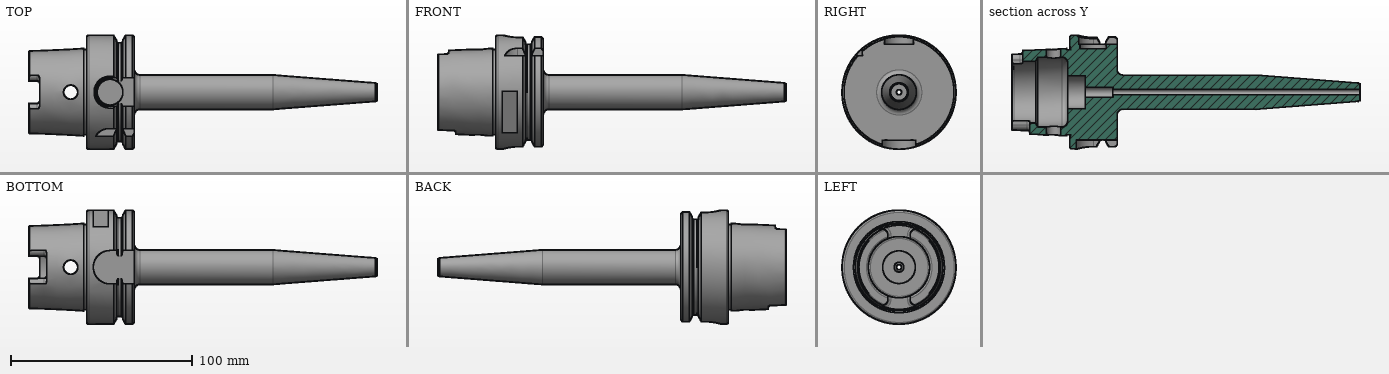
import cadquery as cq
import math


total_length = 192.0

shank_length = 31.9
shank_root_radius = 24.2
shank_tip_radius = 22.8
shank_tip_fillet = 0.8
relief_width = 1.7
relief_depth = 0.5
face_relief_radius = 25.2
face_relief_depth = 0.5

flange_radius = 31.5
flange_width = 26.3
flange_fillet = 1.2
collar_chamfer = 1.2
groove_floor_radius = 27.3
groove_floor_start = 16.5
groove_floor_width = 3.3
groove_wall_radius = 28.6
groove_flank_run = 1.7
groove_corner_radius = 0.8

stem_radius = 9.6
stem_fillet = 2.9
nose_length = 57.6
nose_end = total_length - shank_length
nose_start = nose_end - nose_length
nose_tip_radius = 5.2
nose_chamfer = 0.5
nose_chamfer_length = 1.2

mouth_radius = 18.0
mouth_fillet = 1.2
bore_radius = mouth_radius - mouth_fillet
bore_straight_depth = 13.0
undercut_radius = 19.2
undercut_angle = 60
bore_floor_radius = 16.0
bore_depth = 30.7
thread_radius = 9.0
thread_depth = 9.6
coolant_radius = 2.7
coolant_depth = 15.4
tool_hole_radius = 1.3

drive_half_width = 6.1
drive_corner_radius = 1.5
drive_flare_radius = 3.0
drive_flare_start = 17.9
upper_drive_depth = 6.0
lower_drive_depth = 9.8

cross_hole_radius = 3.8
cross_hole_x = -8.8

keyway_centre_x = 12.9
keyway_floor = 26.5
upper_keyway_half_width = 7.9
lower_keyway_half_width = 9.2
keyway_chamfer = 1.0
seat_radius = 7.1
seat_depth = 2.5

notch_offset = 20.2
notch_corner_radius = 7.9
notch_straight_start = 12.0
flat_start = 3.6
flat_length = 8.3
flat_distance = 29.0
flat_angle = 22.0


def make_body():
    """Revolved outer shape of shank, flange and stem."""
    tip = -shank_length
    groove_end = groove_floor_start + groove_floor_width
    relief_radius = shank_root_radius - relief_depth
    return (
        cq.Workplane("XZ")
        .moveTo(tip, 0)
        .lineTo(tip, shank_tip_radius - shank_tip_fillet)
        .radiusArc((tip + shank_tip_fillet, shank_tip_radius), shank_tip_fillet)
        .lineTo(-relief_width, shank_root_radius)
        .lineTo(-relief_width, relief_radius)
        .lineTo(face_relief_depth, relief_radius)
        .lineTo(0, face_relief_radius)
        .lineTo(0, flange_radius - flange_fillet)
        .radiusArc((flange_fillet, flange_radius), flange_fillet)
        .lineTo(groove_floor_start - groove_flank_run, flange_radius)
        .lineTo(groove_floor_start, groove_wall_radius)
        .lineTo(groove_floor_start, groove_floor_radius + groove_corner_radius)
        .radiusArc((groove_floor_start + groove_corner_radius, groove_floor_radius), -groove_corner_radius)
        .lineTo(groove_end - groove_corner_radius, groove_floor_radius)
        .radiusArc((groove_end, groove_floor_radius + groove_corner_radius), -groove_corner_radius)
        .lineTo(groove_end, groove_wall_radius)
        .lineTo(groove_end + groove_flank_run, flange_radius)
        .lineTo(flange_width - collar_chamfer, flange_radius)
        .lineTo(flange_width, flange_radius - collar_chamfer)
        .lineTo(flange_width, stem_radius + stem_fillet)
        .radiusArc((flange_width + stem_fillet, stem_radius), -stem_fillet)
        .lineTo(nose_start, stem_radius)
        .lineTo(nose_end - nose_chamfer_length, nose_tip_radius)
        .lineTo(nose_end, nose_tip_radius - nose_chamfer)
        .lineTo(nose_end, 0)
        .close()
        .revolve(360, (0, 0, 0), (1, 0, 0))
    )


def make_bore():
    """Revolved cavity: undercut clamping bore, coolant hole and tool hole."""
    tip = -shank_length
    undercut_start = tip + bore_straight_depth
    undercut_run = (undercut_radius - bore_radius) / math.tan(math.radians(undercut_angle))
    floor_fillet = undercut_radius - bore_floor_radius
    floor_x = tip + bore_depth
    thread_end = floor_x + thread_depth
    coolant_end = thread_end + coolant_depth
    return (
        cq.Workplane("XZ")
        .moveTo(tip, 0)
        .lineTo(tip, mouth_radius)
        .radiusArc((tip + mouth_fillet, bore_radius), -mouth_fillet)
        .lineTo(undercut_start, bore_radius)
        .lineTo(undercut_start + undercut_run, undercut_radius)
        .lineTo(floor_x - floor_fillet, undercut_radius)
        .radiusArc((floor_x, bore_floor_radius), floor_fillet)
        .lineTo(floor_x, thread_radius)
        .lineTo(thread_end, thread_radius)
        .lineTo(thread_end, coolant_radius)
        .lineTo(coolant_end, coolant_radius)
        .lineTo(coolant_end, tool_hole_radius)
        .lineTo(nose_end, tool_hole_radius)
        .lineTo(nose_end, 0)
        .close()
        .revolve(360, (0, 0, 0), (1, 0, 0))
    )


def make_drive_slot(depth):
    """Slot across the +Z wall of the shank tip, flared outwards by round edges."""
    flare_top = drive_flare_start + drive_flare_radius
    flare_half_width = drive_half_width + drive_flare_radius
    slot = (
        cq.Workplane("YZ", origin=(-shank_length, 0, 0))
        .moveTo(-drive_half_width, 0)
        .lineTo(drive_half_width, 0)
        .lineTo(drive_half_width, drive_flare_start)
        .radiusArc((flare_half_width, flare_top), drive_flare_radius)
        .lineTo(flare_half_width, flange_radius)
        .lineTo(-flare_half_width, flange_radius)
        .lineTo(-flare_half_width, flare_top)
        .radiusArc((-drive_half_width, drive_flare_start), drive_flare_radius)
        .close()
        .extrude(depth)
    )
    return slot.faces(">X").edges("%CIRCLE").fillet(drive_corner_radius)


def make_keyway(half_width):
    """Round-ended keyway through the +Z side of the flange, open towards +X."""
    run = flange_width - keyway_centre_x
    return (
        cq.Workplane("XY", origin=(keyway_centre_x, 0, keyway_floor))
        .moveTo(run, half_width)
        .lineTo(0, half_width)
        .threePointArc((-half_width, 0), (0, -half_width))
        .lineTo(run, -half_width)
        .close()
        .extrude(flange_radius - keyway_floor)
    )


def make_seat():
    """Shallow round seat in the floor of the upper keyway."""
    return (
        cq.Workplane("XY", origin=(keyway_centre_x, 0, keyway_floor))
        .circle(seat_radius)
        .extrude(-seat_depth)
    )


def make_notch():
    """Square notch on the -Y +Z corner of the flange, open towards +X, with a round inner end."""
    size = flange_radius - notch_offset
    start = notch_straight_start - notch_corner_radius
    return (
        cq.Workplane("XY")
        .box(flange_width - start, size, size, centered=False)
        .edges("|Z and >Y and <X")
        .fillet(notch_corner_radius)
        .translate((start, -flange_radius, notch_offset))
    )


def make_flat():
    """Block whose inner face cuts the flat on the -Y side of the flange."""
    return (
        cq.Workplane("XY")
        .box(flat_length, flange_radius, 2 * flange_radius, centered=(False, False, True))
        .translate((flat_start, -flat_distance - flange_radius, 0))
        .rotate((0, 0, 0), (1, 0, 0), flat_angle)
    )


def make_cross_hole():
    """Hole along Z through both walls of the shank."""
    return (
        cq.Workplane("XY", origin=(cross_hole_x, 0, 0))
        .circle(cross_hole_radius)
        .extrude(flange_radius, both=True)
    )


def turn_over(shape):
    """Swing a cutter from the +Z side to the -Z side."""
    return shape.rotate((0, 0, 0), (1, 0, 0), 180)


def chamfer_upper_keyway(body):
    """Break the outer edge of the upper keyway between the rim and the gripper groove."""
    margin = 0.2
    reach = upper_keyway_half_width + margin
    edges = cq.selectors.BoxSelector(
        (flange_fillet + margin, -reach, keyway_floor + margin),
        (groove_floor_start - groove_flank_run + margin, reach, flange_radius + margin),
        boundingbox=True,
    )
    return body.edges(edges).chamfer(keyway_chamfer)


result = make_body().cut(make_bore())
result = result.cut(make_drive_slot(upper_drive_depth))
result = result.cut(turn_over(make_drive_slot(lower_drive_depth)))
result = result.cut(make_keyway(upper_keyway_half_width))
result = chamfer_upper_keyway(result)
result = result.cut(turn_over(make_keyway(lower_keyway_half_width)))
result = result.cut(make_seat())
result = result.cut(make_notch())
result = result.cut(make_flat())
result = result.cut(make_cross_hole())